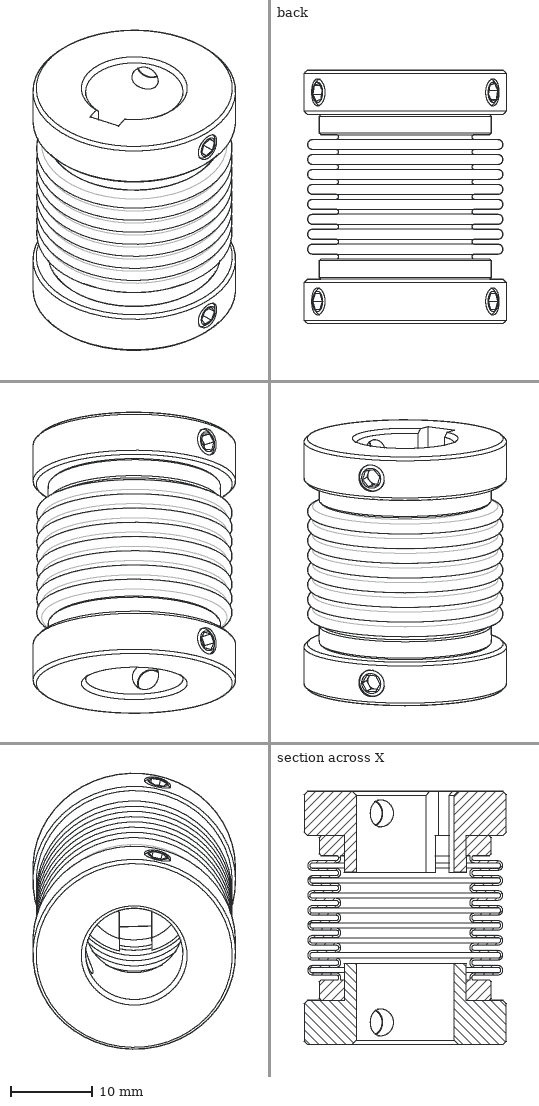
import cadquery as cq
import math

total_length = 31.25
hub_diameter = 25.0

hub_length = 10.0
flange_length = 5.47
flange_chamfer = 0.4
bore_diameter = 12.0
bore_chamfer = 0.53
spigot_diameter = 15.12

key_width = 4.0
key_depth_from_axis = 7.8
key_angle = -45.0

screw_diameter = 3.3
screw_angles = (30.0, 150.0)
screw_chamfer = 0.4
screw_tip_radius = 8.45
hex_across_flats = 2.0
hex_depth = 1.55
top_hex_turn = 42.0
bottom_hex_turn = 30.0
cup_diameter = 3.12
cone_angle = 120.0

collar_diameter = 21.25
collar_length = 2.5
collar_chamfer = 0.22
fin_count = 8
fin_pitch = 1.85
fin_thickness = 1.25
fin_diameter = 24.12
valley_diameter = 16.5
wall = 0.3

hub_radius = hub_diameter / 2
half_length = total_length / 2
flange_inner_z = half_length - flange_length
hub_inner_z = half_length - hub_length
collar_inner_z = flange_inner_z - collar_length
screw_z = half_length - flange_length / 2


def cylinder(diameter, bottom_z, top_z):
    return cq.Workplane("XY", origin=(0, 0, bottom_z)).circle(diameter / 2).extrude(top_z - bottom_z)


def radial_plane(angle, radius):
    """Plane at a radius on the screw axis, facing outwards."""
    direction = (math.cos(math.radians(angle)), math.sin(math.radians(angle)), 0)
    origin = (radius * direction[0], radius * direction[1], screw_z)
    return cq.Plane(origin=origin, xDir=(0, 0, 1), normal=direction)


def radial_cone(angle, base_radius, base_diameter, height):
    """Cone with its base at a radius on the screw axis; a negative height points inwards."""
    plane = radial_plane(angle, base_radius)
    direction = plane.zDir if height > 0 else plane.zDir * -1
    return cq.Workplane(cq.Solid.makeCone(base_diameter / 2, 0, abs(height), plane.origin, direction))


def make_set_screw(angle, hex_turn):
    """Screw with a chamfered head, a drilled hex socket and a cup point."""
    outer_end = cq.selectors.DirectionMinMaxSelector(radial_plane(angle, 0).zDir, True)
    body = (
        cq.Workplane(radial_plane(angle, screw_tip_radius))
        .circle(screw_diameter / 2)
        .extrude(hub_radius - screw_tip_radius)
        .faces(outer_end)
        .chamfer(screw_chamfer)
    )
    socket_floor_radius = hub_radius - hex_depth
    hex_corner_diameter = hex_across_flats / math.cos(math.radians(30))
    socket = (
        cq.Workplane(radial_plane(angle, socket_floor_radius))
        .transformed(rotate=(0, 0, hex_turn))
        .polygon(6, hex_corner_diameter)
        .extrude(hex_depth)
    )
    drill_point = radial_cone(angle, socket_floor_radius, hex_across_flats, -cone_depth(hex_across_flats))
    cup = radial_cone(angle, screw_tip_radius, cup_diameter, cone_depth(cup_diameter))
    return body.cut(socket).cut(drill_point).cut(cup)


def cone_depth(diameter):
    return diameter / 2 / math.tan(math.radians(cone_angle / 2))


def fit_set_screws(hub, hex_turn):
    """Cut the radial screw holes and fill the outer part of each with its screw."""
    for angle in screw_angles:
        hole = cq.Workplane(radial_plane(angle, 0)).circle(screw_diameter / 2).extrude(hub_diameter)
        hub = hub.cut(hole).union(make_set_screw(angle, hex_turn))
    return hub


def make_hub():
    """Hub at the top end, without keyway."""
    flange = cylinder(hub_diameter, flange_inner_z, half_length).edges().chamfer(flange_chamfer)
    spigot = cylinder(spigot_diameter, hub_inner_z, half_length - flange_chamfer)
    bore = cylinder(bore_diameter, hub_inner_z, half_length)
    hub = flange.union(spigot).cut(bore)
    bore_rim = cq.selectors.RadiusNthSelector(0)
    return hub.faces(">Z").edges(bore_rim).chamfer(bore_chamfer)


def cut_keyway(hub):
    keyway = (
        cq.Workplane("XY", origin=(0, 0, hub_inner_z))
        .rect(key_depth_from_axis, key_width)
        .extrude(half_length - hub_inner_z)
        .translate((key_depth_from_axis / 2, 0, 0))
        .rotate((0, 0, 0), (0, 0, 1), key_angle)
    )
    return hub.cut(keyway)


def bellows_skin(inset):
    """Solid under the corrugated bellows surface, shrunk by an inset along its normals."""
    tip_round = fin_thickness / 2 - inset
    root_round = (fin_pitch - fin_thickness) / 2 + inset
    tip_radius = fin_diameter / 2 - inset
    root_radius = valley_diameter / 2 - inset
    tip_center = tip_radius - tip_round
    root_center = root_radius + root_round
    end_z = fin_count * fin_pitch / 2 + root_round

    outline = cq.Workplane("XZ").moveTo(0, -end_z).lineTo(root_center, -end_z)
    for index in range(fin_count):
        fin_z = fin_pitch * (index - (fin_count - 1) / 2)
        valley_z = fin_z - fin_pitch / 2
        outline = (
            outline
            .threePointArc((root_radius, valley_z), (root_center, fin_z - tip_round))
            .lineTo(tip_center, fin_z - tip_round)
            .threePointArc((tip_radius, fin_z), (tip_center, fin_z + tip_round))
            .lineTo(root_center, fin_z + tip_round)
        )
    outline = outline.threePointArc((root_radius, end_z - root_round), (root_center, end_z))
    return outline.lineTo(0, end_z).close().revolve(360, (0, 0), (0, 1))


def make_collar():
    """Collar at the top end, open for the hub spigot."""
    collar = cylinder(collar_diameter, collar_inner_z, flange_inner_z).edges().chamfer(collar_chamfer)
    return collar.cut(cylinder(spigot_diameter, collar_inner_z, flange_inner_z))


def make_bellows():
    """Thin-walled tube with round fins and valleys, and a collar at each end."""
    tube = bellows_skin(0).cut(bellows_skin(wall))
    collar = make_collar()
    return tube.union(collar).union(collar.mirror("XY"))


plain_hub = make_hub()
top_hub = fit_set_screws(cut_keyway(plain_hub), top_hex_turn)
bottom_hub = fit_set_screws(plain_hub, bottom_hex_turn).mirror("XY")
bellows = make_bellows()

result = cq.Compound.makeCompound([top_hub.val(), bottom_hub.val(), bellows.val()])